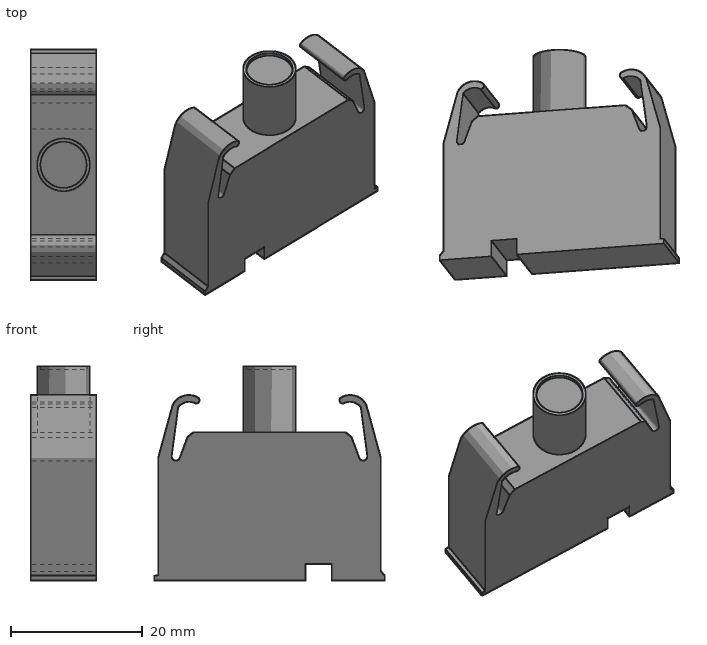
import cadquery as cq

thickness = 10.0
overall_length = 35.0
overall_height = 32.52

pin_diameter = 8.0
pin_height = 10.0
pin_rim_width = 0.5
pin_recess_depth = 0.5

foot_projection = 0.6
foot_height = 0.73
back_foot_rise = 0.7
front_foot_rise = 0.1

notch_width = 3.95
notch_depth = 2.5
notch_center_y = 7.45

foot_y = overall_length / 2
side_y = foot_y - foot_projection
block_top_z = overall_height - pin_height

arm_base = (side_y, 18.6)
hook_outer_start = (14.74, 26.5)
hook_crest = (12.25, 28.15)
hook_outer_end = (10.9, 27.8)
hook_tip = (10.61, 27.3)
hook_inner_end = (11.15, 26.82)
hook_inner_crest = (12.3, 27.08)
hook_inner_start = (13.83, 26.3)
slot_outer_end = (14.82, 18.85)
slot_bottom = (14.13, 18.2)
slot_inner_end = (13.63, 18.6)
shoulder_low = (12.45, 21.75)
shoulder_high = (11.5, block_top_z)


def mirrored(point):
    """Reflect a (Y, Z) point to the -Y end."""
    return (-point[0], point[1])


def make_housing():
    """Flat block with two hooked spring clips, two feet and a bottom notch."""
    notch_near_y = notch_center_y - notch_width / 2
    notch_far_y = notch_center_y + notch_width / 2
    profile = (
        cq.Workplane("YZ", origin=(-thickness / 2, 0, 0))
        .moveTo(-foot_y, 0)
        .lineTo(notch_near_y, 0)
        .lineTo(notch_near_y, notch_depth)
        .lineTo(notch_far_y, notch_depth)
        .lineTo(notch_far_y, 0)
        .lineTo(foot_y, 0)
        .lineTo(foot_y, foot_height)
        .lineTo(side_y, foot_height + back_foot_rise)
        .lineTo(*arm_base)
        .lineTo(*hook_outer_start)
        .threePointArc(hook_crest, hook_outer_end)
        .threePointArc(hook_tip, hook_inner_end)
        .threePointArc(hook_inner_crest, hook_inner_start)
        .lineTo(*slot_outer_end)
        .threePointArc(slot_bottom, slot_inner_end)
        .lineTo(*shoulder_low)
        .lineTo(*shoulder_high)
        .lineTo(*mirrored(shoulder_high))
        .lineTo(*mirrored(shoulder_low))
        .lineTo(*mirrored(slot_inner_end))
        .threePointArc(mirrored(slot_bottom), mirrored(slot_outer_end))
        .lineTo(*mirrored(hook_inner_start))
        .threePointArc(mirrored(hook_inner_crest), mirrored(hook_inner_end))
        .threePointArc(mirrored(hook_tip), mirrored(hook_outer_end))
        .threePointArc(mirrored(hook_crest), mirrored(hook_outer_start))
        .lineTo(*mirrored(arm_base))
        .lineTo(-side_y, foot_height + front_foot_rise)
        .lineTo(-foot_y, foot_height)
        .close()
    )
    return profile.extrude(thickness)


def make_pin():
    """Round pin standing on the top face, with a shallow recess in its end."""
    recess_diameter = pin_diameter - 2 * pin_rim_width
    pin = cq.Workplane("XY", origin=(0, 0, block_top_z)).circle(pin_diameter / 2).extrude(pin_height)
    return pin.faces(">Z").workplane().circle(recess_diameter / 2).cutBlind(-pin_recess_depth)


housing = make_housing()
pin = make_pin()

result = cq.Compound.makeCompound([housing.val(), pin.val()])